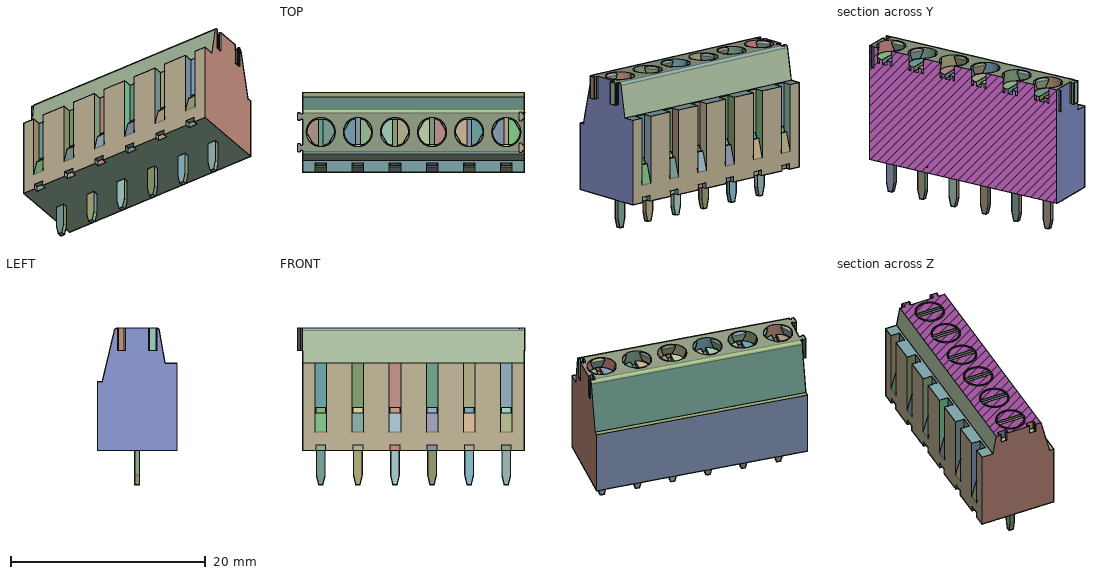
import cadquery as cq


pole_count = 6
pole_pitch = 3.8
pole_xs = [(i - (pole_count - 1) / 2) * pole_pitch for i in range(pole_count)]

overall_length = 23.35
tongue_reach = 0.54
lip_reach = 0.07
body_length = overall_length - tongue_reach - lip_reach
body_left = -body_length / 2
body_right = body_length / 2
body_depth = 8.2
body_height = 12.6
front_ledge_height = 9.0
front_ledge_depth = 1.24
back_ledge_height = 7.08
back_ledge_depth = 0.5
top_front_y = 1.87
top_back_y = 6.4
front_edge_radius = 0.3
back_edge_radius = 0.37

slot_width = 1.2
slot_depth = 0.98
slot_bottom = 1.9
ramp_top = 3.85
ramp_depth = 0.55
wedge_width = 1.0
wedge_top = 4.42
wedge_front = 0.7

notch_width = 1.0
notch_height = 0.58
notch_depth = 0.5

screw_y = 4.13
access_diameter = 3.0
screw_diameter = 2.8
screw_recess = 1.2
screw_slot_width = 0.5
screw_slot_depth = 0.5

rib_count = 3
rib_spacing_angle = 360 / rib_count
first_rib_angle = 90
rib_inner_radius = 1.28
rib_foot_radius = 1.42
rib_outer_radius = 1.64
rib_length = 1.64
rib_start_depth = 0.07
rib_crest_depth = 0.33

pin_y = 4.1
pin_width = 0.9
pin_thickness = 0.5
pin_length = 3.5
pin_tip_width = 0.45
pin_taper_length = 0.98

joint_height = 2.34
joint_front_y = 2.52
joint_back_y = 5.72
front_head_width = 0.89
back_head_width = 0.8
joint_neck_width = 0.51
joint_neck_length = 0.16
joint_neck_flare = 0.05
joint_head_thickness = 0.25
joint_bevel_width = 0.12
joint_bevel_height = 0.05
groove_clearance = 0.05
lip_thickness = 0.07
lip_y = 6.07


def make_housing():
    """Stepped, tapered profile extruded along the row of poles."""
    profile = [
        (0, 0),
        (body_depth, 0),
        (body_depth, back_ledge_height),
        (body_depth - back_ledge_depth, back_ledge_height),
        (top_back_y, body_height),
        (top_front_y, body_height),
        (front_ledge_depth, front_ledge_height),
        (0, front_ledge_height),
    ]
    housing = cq.Workplane("YZ", origin=(body_left, 0, 0)).polyline(profile).close().extrude(body_length)
    housing = housing.faces(">Z").edges("<Y").fillet(front_edge_radius)
    return housing.faces(">Z").edges(">Y").fillet(back_edge_radius)


def extrude_across(x, width, points):
    """Prism with a Y-Z outline, centred on x."""
    return cq.Workplane("YZ", origin=(x - width / 2, 0, 0)).polyline(points).close().extrude(width)


def make_wire_slot(x):
    """Open-topped slot with a ramped floor and a narrower wedge at its back."""
    slot = extrude_across(x, slot_width, [
        (0, slot_bottom),
        (ramp_depth, ramp_top),
        (slot_depth, ramp_top),
        (slot_depth, front_ledge_height),
        (0, front_ledge_height),
    ])
    wedge = extrude_across(x, wedge_width, [
        (wedge_front, ramp_top),
        (slot_depth, ramp_top),
        (slot_depth, wedge_top),
    ])
    return slot.cut(wedge)


def make_notch(x):
    return cq.Workplane("XY").box(
        notch_width, notch_depth, notch_height, centered=(True, False, False)
    ).translate((x, 0, 0))


def make_rib():
    """Rib on the +X side of a hole: rounded crest above, tapering away downwards."""
    hole_radius = access_diameter / 2
    return (
        cq.Workplane("XZ", origin=(0, rib_length / 2, 0))
        .moveTo(rib_outer_radius, -rib_start_depth)
        .lineTo(hole_radius, -rib_start_depth)
        .tangentArcPoint((rib_inner_radius, -rib_crest_depth), relative=False)
        .lineTo(rib_foot_radius, -screw_recess)
        .lineTo(rib_outer_radius, -screw_recess)
        .close()
        .extrude(rib_length)
    )


def make_screw_recess(x, start_angle):
    """Space above and around a slotted screw head, with the ribs left standing."""
    recess_depth = screw_recess + screw_slot_depth
    recess = cq.Workplane("XY").circle(access_diameter / 2).extrude(-recess_depth)
    head = (
        cq.Workplane("XY", origin=(0, 0, -recess_depth))
        .circle(screw_diameter / 2)
        .extrude(screw_slot_depth)
    )
    screw_slot = cq.Workplane("XY", origin=(0, 0, -recess_depth)).box(
        screw_slot_width, screw_diameter, screw_slot_depth, centered=(True, True, False)
    )
    recess = recess.cut(head.cut(screw_slot))
    for i in range(rib_count):
        angle = start_angle + i * rib_spacing_angle
        recess = recess.cut(make_rib().rotate((0, 0, 0), (0, 0, 1), angle))
    return recess.translate((x, screw_y, body_height))


def make_pin(x):
    """Flat solder pin with a tapered tip."""
    taper_z = pin_taper_length - pin_length
    outline = [
        (-pin_width / 2, 0),
        (-pin_width / 2, taper_z),
        (-pin_tip_width / 2, -pin_length),
        (pin_tip_width / 2, -pin_length),
        (pin_width / 2, taper_z),
        (pin_width / 2, 0),
    ]
    back_y = pin_y + pin_thickness / 2
    return cq.Workplane("XZ", origin=(x, back_y, 0)).polyline(outline).close().extrude(pin_thickness)


def make_joint(end_x, center_y, head_width):
    """Bar with a bevelled T head, reaching in -X from an end plane, at the top of the housing."""
    half_neck = joint_neck_width / 2
    half_head = head_width / 2
    upper_half = [
        (0, half_neck + joint_neck_flare),
        (-joint_neck_length, half_neck),
        (joint_head_thickness - tongue_reach, half_head),
        (joint_bevel_height - tongue_reach, half_head),
        (-tongue_reach, half_head - joint_bevel_width),
    ]
    lower_half = [(x, -y) for x, y in reversed(upper_half)]
    outline = upper_half + lower_half
    origin = (end_x, center_y, body_height - joint_height)
    return cq.Workplane("XY", origin=origin).polyline(outline).close().extrude(joint_height)


result = make_housing()

for index, pole_x in enumerate(pole_xs):
    rib_angle = first_rib_angle - (index % 2) * rib_spacing_angle / 2
    result = result.cut(make_wire_slot(pole_x))
    result = result.cut(make_notch(pole_x))
    result = result.cut(make_screw_recess(pole_x, rib_angle))
    result = result.union(make_pin(pole_x))

for joint_y, joint_head_width in ((joint_front_y, front_head_width), (joint_back_y, back_head_width)):
    result = result.union(make_joint(body_left, joint_y, joint_head_width))
    groove_head_width = joint_head_width + 2 * groove_clearance
    result = result.cut(make_joint(body_right, joint_y, groove_head_width))

lip = cq.Workplane("XY").box(
    2 * lip_reach, lip_thickness, joint_height, centered=(True, False, False)
)
result = result.union(lip.translate((body_right, lip_y, body_height - joint_height)))